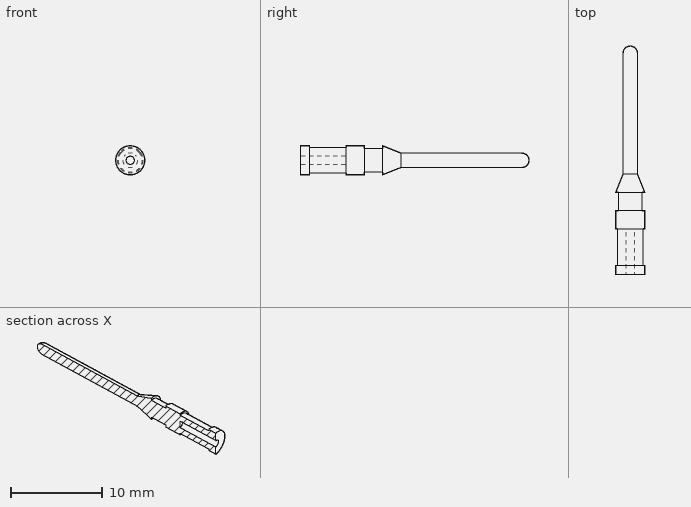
import cadquery as cq
import math

collar_diameter = 3.2
barrel_diameter = 2.8
neck_diameter = 2.6
pin_diameter = 1.6
bore_diameter = 0.9

total_length = 25.0
end_flange_length = 1.0
barrel_length = 4.0
collar_length = 2.0
neck_length = 2.0
cone_length = 2.0
bore_depth = end_flange_length + barrel_length

barrel_start = end_flange_length
collar_start = barrel_start + barrel_length
neck_start = collar_start + collar_length
cone_start = neck_start + neck_length
pin_start = cone_start + cone_length

collar_radius = collar_diameter / 2
barrel_radius = barrel_diameter / 2
neck_radius = neck_diameter / 2
pin_radius = pin_diameter / 2

tip_start = total_length - pin_radius
tip_arc_middle = (
    pin_radius * math.cos(math.pi / 4),
    tip_start + pin_radius * math.sin(math.pi / 4),
)


def make_body():
    """Revolve the stepped half profile about the Y axis."""
    profile = (
        cq.Workplane("XY")
        .moveTo(0, 0)
        .lineTo(collar_radius, 0)
        .lineTo(collar_radius, barrel_start)
        .lineTo(barrel_radius, barrel_start)
        .lineTo(barrel_radius, collar_start)
        .lineTo(collar_radius, collar_start)
        .lineTo(collar_radius, neck_start)
        .lineTo(neck_radius, neck_start)
        .lineTo(neck_radius, cone_start)
        .lineTo(collar_radius, cone_start)
        .lineTo(pin_radius, pin_start)
        .lineTo(pin_radius, tip_start)
        .threePointArc(tip_arc_middle, (0, total_length))
        .close()
    )
    return profile.revolve(360, (0, 0), (0, 1))


def make_bore():
    """Blind wire bore, running through the end flange and barrel."""
    bore_end = cq.Workplane("XZ", origin=(0, bore_depth, 0))
    return bore_end.circle(bore_diameter / 2).extrude(bore_depth)


result = make_body().cut(make_bore())